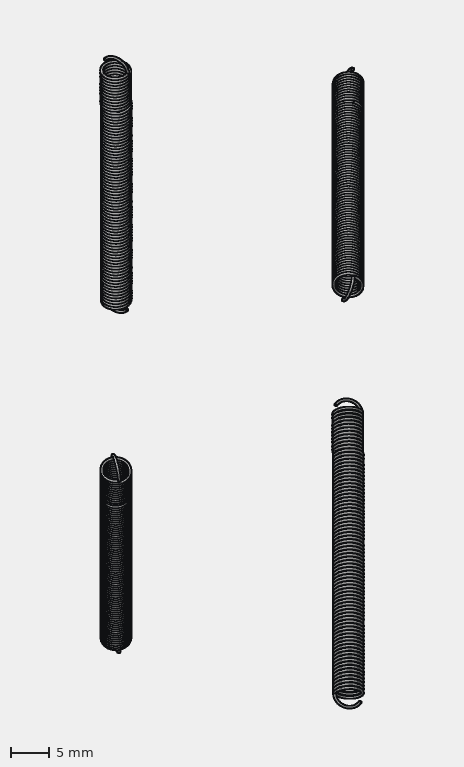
import cadquery as cq
import math

overall_height = 44.35
wire_diameter = 0.4
coil_outer_diameter = 4.12
turns = 80.5
section_count = 7
top_offset = 0.1
hook_sweep = 150.0

wire_radius = wire_diameter / 2
coil_radius = (coil_outer_diameter - wire_diameter) / 2
coil_height = overall_height - coil_outer_diameter
pitch = coil_height / turns
coil_top = coil_height / 2
lower_axis_x = top_offset / 2
upper_axis_x = -top_offset / 2
section_turns = turns / section_count
section_height = coil_height / section_count


def make_coil_section():
    """Right-handed helix of round wire starting at +X, Z = 0."""
    path = cq.Wire.makeHelix(pitch, section_height, coil_radius)
    rise_direction = cq.Vector(0, 2 * math.pi * coil_radius, pitch)
    start = cq.Plane(origin=(coil_radius, 0, 0), xDir=(1, 0, 0), normal=rise_direction)
    return cq.Workplane(start).circle(wire_radius).sweep(cq.Workplane(obj=path), isFrenet=True)


def make_coil():
    """Equal sections end to end, from -X at the bottom to +X at the top."""
    section = make_coil_section()
    coil = cq.Workplane()
    for index in range(section_count):
        angle = 180 + index * section_turns * 360
        height = index * section_height - coil_top
        is_top_section = index == section_count - 1
        axis_x = upper_axis_x if is_top_section else lower_axis_x
        turned = section.rotate((0, 0, 0), (0, 0, 1), angle)
        coil = coil.add(turned.translate((axis_x, 0, height)))
    return coil.combine()


def make_hook():
    """Open hook above the coil axis in the XZ plane, starting at the +X end of the coil."""
    start = cq.Workplane("XY", origin=(coil_radius, 0, coil_top)).circle(wire_radius)
    return start.revolve(hook_sweep, (-coil_radius, 0), (-coil_radius, -1))


hook = make_hook()
top_hook = hook.translate((upper_axis_x, 0, 0))
bottom_hook = hook.rotate((0, 0, 0), (0, 1, 0), 180).translate((lower_axis_x, 0, 0))
result = make_coil().union(top_hook).union(bottom_hook)